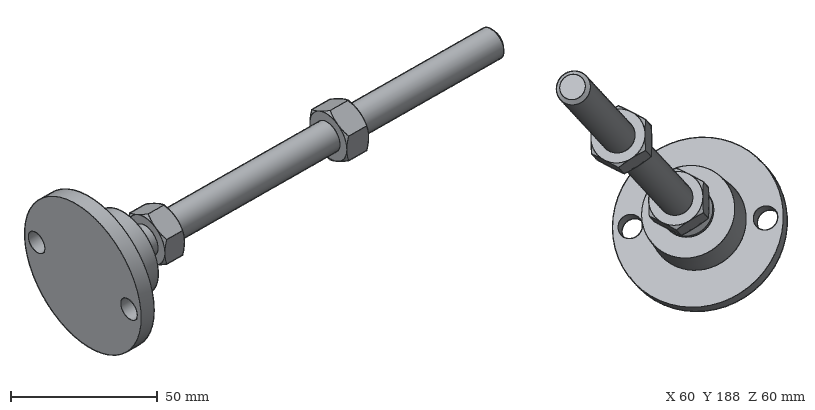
import cadquery as cq
import math


plate_diameter = 60.0
plate_thickness = 6.0
boss_base_diameter = 34.0
boss_top_diameter = 32.7
boss_height = 14.0
hole_diameter = 8.5
hole_spacing = 47.5

total_length = 188.0
rod_diameter = 12.0
rod_tip_chamfer_radial = 1.5
rod_tip_chamfer_length = 1.2
collar_diameter = 18.0
collar_height = 1.5
flare_height = 3.5

nut_sides = 6
nut_across_flats = 19.0
nut_chamfer_angle = 30.0
lower_nut_start = 29.0
lower_nut_height = 9.0
upper_nut_start = 112.0
upper_nut_height = 10.0

boss_top = plate_thickness + boss_height
collar_top = boss_top + collar_height
flare_top = collar_top + flare_height


def make_foot_body():
    """Plate, tapered boss, collar, flare and rod as one revolved profile about Y."""
    rod_radius = rod_diameter / 2
    tip_radius = rod_radius - rod_tip_chamfer_radial
    profile = [
        (0, 0),
        (plate_diameter / 2, 0),
        (plate_diameter / 2, plate_thickness),
        (boss_base_diameter / 2, plate_thickness),
        (boss_top_diameter / 2, boss_top),
        (collar_diameter / 2, boss_top),
        (collar_diameter / 2, collar_top),
        (rod_radius, flare_top),
        (rod_radius, total_length - rod_tip_chamfer_length),
        (tip_radius, total_length),
        (0, total_length),
    ]
    return cq.Workplane("XY").polyline(profile).close().revolve(360, (0, 0), (0, 1))


def make_mounting_holes():
    """Two through holes in the plate, on the X axis."""
    centres = [(-hole_spacing / 2, 0), (hole_spacing / 2, 0)]
    return (
        cq.Workplane("XZ")
        .pushPoints(centres)
        .circle(hole_diameter / 2)
        .extrude(-plate_thickness)
    )


def make_nut(start, height):
    """Hexagonal nut with flats facing +X and -X, corners chamfered at both ends."""
    flat_radius = nut_across_flats / 2
    corner_radius = flat_radius / math.cos(math.pi / nut_sides)
    chamfer_length = (corner_radius - flat_radius) * math.tan(math.radians(nut_chamfer_angle))
    end = start + height
    hexagon = (
        cq.Workplane("XZ", origin=(0, start, 0))
        .transformed(rotate=(0, 0, 90))
        .polygon(nut_sides, 2 * corner_radius)
        .extrude(-height)
    )
    envelope_profile = [
        (0, start),
        (flat_radius, start),
        (corner_radius, start + chamfer_length),
        (corner_radius, end - chamfer_length),
        (flat_radius, end),
        (0, end),
    ]
    envelope = cq.Workplane("XY").polyline(envelope_profile).close().revolve(360, (0, 0), (0, 1))
    return hexagon.intersect(envelope)


result = make_foot_body().cut(make_mounting_holes())
result = result.union(make_nut(lower_nut_start, lower_nut_height))
result = result.union(make_nut(upper_nut_start, upper_nut_height))